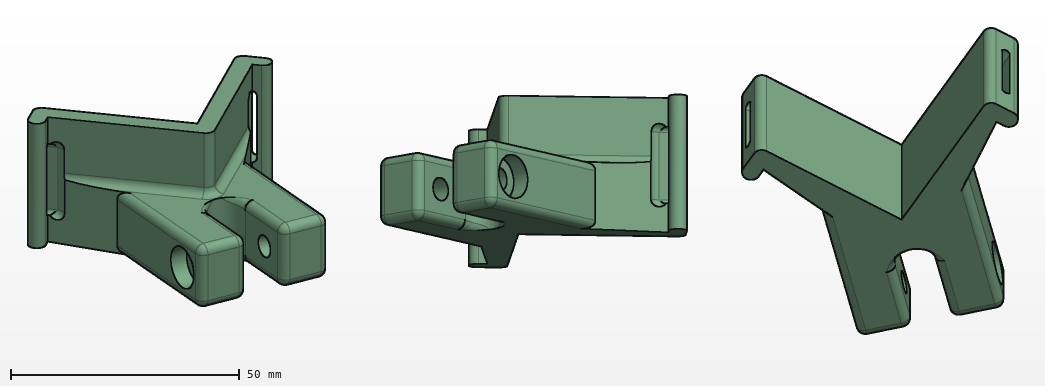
import cadquery as cq
import math

total_width = 62.0
total_length = 53.05
wall_height = 30.0
wall_thickness = 4.5
round_radius = 2.0
ROOT2 = math.sqrt(2)

wing_length = ROOT2 * (total_width / 2 - round_radius) - wall_thickness
hook_inner = wing_length - 2 * round_radius
vertex_x = round_radius + hook_inner / ROOT2
apex_x = vertex_x + wall_thickness * ROOT2
apex_center_x = apex_x - round_radius * ROOT2

leg_height = 15.0
leg_outer_y = 16.5
fork_radius = 4.5
fork_apex_x = 33.0
fork_center_x = fork_apex_x + fork_radius
leg_root_x = 16.75
flare_radius = 6.95
flare_sections = 5
flare_inset = 0.05

pin_x = 45.7
pin_z = leg_height / 2
pin_diameter = 5.1
counterbore_diameter = 9.6
counterbore_depth = 4.0

slot_width = 2.0
slot_height = 17.05
slot_across = 4.5
pocket_radius = 2.0
pocket_along = hook_inner - pocket_radius
pocket_across = slot_across - slot_width / 2 + pocket_radius

web_side_x = 18.1


def wing_point(along, across):
    """Plan position on the +Y wing, measured from the inner vertex of the V."""
    return (vertex_x + (across - along) / ROOT2, (across + along) / ROOT2)


def with_mirror(half):
    """Join a body on the +Y side to its mirror image."""
    return half.union(half.mirror("XZ"))


def make_wall():
    hook_center = wall_thickness + round_radius
    outline = [
        (vertex_x, 0),
        wing_point(wing_length, 0),
        wing_point(wing_length, hook_center),
        wing_point(hook_inner, hook_center),
        wing_point(hook_inner, wall_thickness),
        (apex_x, 0),
    ]
    half = cq.Workplane("XY").polyline(outline).close().extrude(wall_height)
    corner = cq.selectors.NearestToPointSelector((*outline[1], wall_height / 2))
    half = half.edges(corner).fillet(round_radius)
    tip_center = wing_point(wing_length - round_radius, hook_center)
    tip = cq.Workplane("XY").center(*tip_center).circle(round_radius).extrude(wall_height)
    wall = with_mirror(half.union(tip))
    apex = cq.selectors.NearestToPointSelector((apex_x, 0, wall_height / 2))
    return wall.edges(apex).fillet(round_radius)


def make_web(height):
    """Prism filling the space between the V wall and the fork root."""
    corner_x, corner_y = wing_point(hook_inner, wall_thickness)
    slope = (leg_outer_y - corner_y) / (web_side_x - corner_x)
    foot_y = leg_outer_y - round_radius
    foot_x = web_side_x + (foot_y - leg_outer_y) / slope
    outline = [
        (apex_center_x, 0),
        (corner_x, corner_y),
        (foot_x, foot_y),
        (fork_center_x, fork_radius + round_radius),
        (fork_center_x, 0),
    ]
    return with_mirror(cq.Workplane("XY").polyline(outline).close().extrude(height))


def fillet_profile(plane):
    """Concave fillet section, with local x measured out from the apex centre."""
    near = round_radius
    far = 2 * round_radius
    bulge = far - round_radius / ROOT2
    return (
        cq.Workplane(plane)
        .moveTo(near, 0)
        .lineTo(far, 0)
        .threePointArc((bulge, round_radius - round_radius / ROOT2), (near, round_radius))
        .close()
    )


def make_web_fillet():
    """Fillet between the web top and the V wall, trimmed by the web edge."""
    origin = (apex_center_x, 0, leg_height)
    wing_plane = cq.Plane(origin=origin, xDir=(1, 1, 0), normal=(1, -1, 0))
    wing = fillet_profile(wing_plane).extrude(-wing_length)
    turn_plane = cq.Plane(origin=origin, xDir=(1, -1, 0), normal=(-1, -1, 0))
    turn = fillet_profile(turn_plane).revolve(90, (0, 0, 0), (0, 1, 0))
    return with_mirror(wing).union(turn).intersect(make_web(wall_height))


def make_legs():
    leg = cq.Workplane("XY").box(
        total_length - leg_root_x, leg_outer_y - fork_radius, leg_height, centered=False
    )
    leg = leg.edges().fillet(round_radius).translate((leg_root_x, fork_radius, 0))
    corner = wing_point(hook_inner, wall_thickness)
    beside_web = [corner, (web_side_x, leg_outer_y), (corner[0], leg_outer_y)]
    inside_wall = [corner, (apex_center_x, 0), (corner[0], 0)]
    for outline in (beside_web, inside_wall):
        leg = leg.cut(cq.Workplane("XY").polyline(outline).close().extrude(leg_height))
    return with_mirror(leg)


def make_fork_cutter():
    """Round fork root whose top and bottom rims flare out towards the legs."""
    cutter = cq.Workplane("XY").center(fork_center_x, 0).circle(fork_radius).extrude(leg_height)
    rims = []
    for i in range(flare_sections):
        angle = math.pi / 2 * i / (flare_sections - 1)
        height = leg_height - round_radius + round_radius * math.sin(angle)
        radius = fork_radius + (flare_radius - fork_radius) * (1 - math.cos(angle))
        center = cq.Vector(fork_apex_x + flare_inset + radius, 0, height)
        rims.append(cq.Wire.makeCircle(radius, center, cq.Vector(0, 0, 1)))
    flare = cq.Workplane(cq.Solid.makeLoft(rims))
    keep = cq.Workplane("XY").box(2 * fork_center_x, total_width, 2 * wall_height)
    flare = flare.intersect(keep)
    lower_flare = flare.mirror("XY", (0, 0, leg_height / 2))
    return cutter.union(flare).union(lower_flare)


def make_pin_cutter():
    bore_plane = cq.Workplane("XZ", origin=(pin_x, 0, pin_z))
    bore = bore_plane.circle(pin_diameter / 2).extrude(total_width / 2, both=True)
    seat_plane = bore_plane.workplane(offset=leg_outer_y - counterbore_depth)
    seat = seat_plane.circle(counterbore_diameter / 2).extrude(counterbore_depth)
    return bore.union(with_mirror(seat))


def make_strap_slots():
    """Slot through each hook, opening into a capsule-shaped pocket behind it."""
    x, y = wing_point(wing_length, slot_across)
    plane = cq.Plane(origin=(x, y, wall_height / 2), xDir=(1, 1, 0), normal=(1, -1, 0))
    depth = wing_length - pocket_along
    slot = cq.Workplane(plane).slot2D(slot_height, slot_width, 90).extrude(depth)
    pocket_x, pocket_y = wing_point(pocket_along, pocket_across)
    straight = slot_height - slot_width
    pocket_plane = cq.Workplane("XY", origin=(pocket_x, pocket_y, (wall_height - straight) / 2))
    pocket = pocket_plane.circle(pocket_radius).extrude(straight)
    pocket = pocket.union(pocket_plane.sphere(pocket_radius))
    pocket = pocket.union(pocket_plane.workplane(offset=straight).sphere(pocket_radius))
    return with_mirror(slot.union(pocket))


body = make_wall().union(make_web(leg_height)).union(make_legs()).union(make_web_fillet())
result = body.cut(make_fork_cutter()).cut(make_pin_cutter()).cut(make_strap_slots())